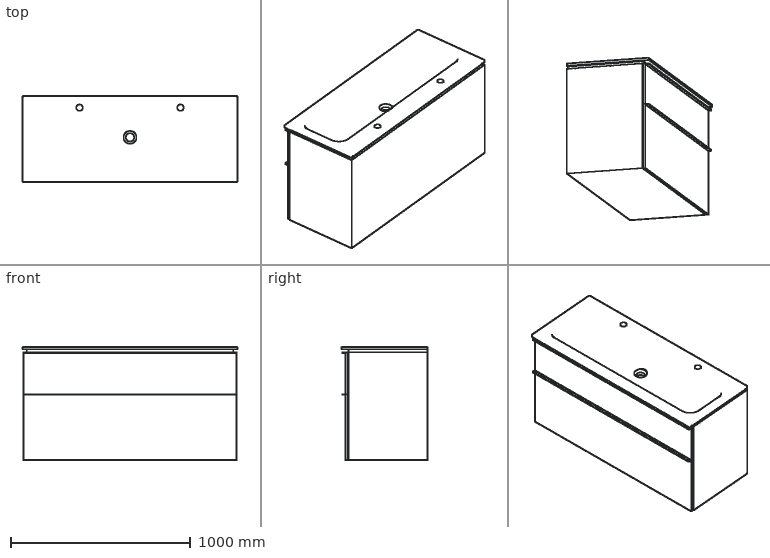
import cadquery as cq
import math


cabinet_width = 1188.0
cabinet_depth = 442.0
cabinet_height = 599.0

front_side_inset = 4.0
front_gap = 4.0
front_thickness = 13.0
ledge_thickness = 5.0
ledge_overhang = 18.0
ledge_corner_radius = 4.0
lower_front_height = 368.0

front_width = cabinet_width - 2 * front_side_inset
front_back_y = -(cabinet_depth + front_gap)

slab_width = 1198.0
slab_depth = 480.0
top_z = 630.0
slab_half_height = 7.0
slab_edge_radius = 6.0
slab_bottom_inset = 1.0
slab_corner_radius = 7.0
plinth_width = 1152.0
plinth_depth = cabinet_depth

slab_bottom_z = top_z - 2 * slab_half_height
plinth_height = slab_bottom_z - cabinet_height

bowl_depth = 100.0
bowl_centre_y = -236.0
bowl_flat_half_length = 300.0
bowl_end_run = 244.0
bowl_back_run = 119.0
bowl_front_run = 175.0
bowl_corner_radius = 66.0
bowl_side_wall = 18.0
bowl_section_angles = (0, 12, 24, 36, 48, 60, 70, 79, 86)
rim_radius = 4.0

tap_hole_diameter = 36.0
tap_hole_spacing = 562.0
tap_hole_y = -66.0
drain_y = -231.0
drain_mouth_diameter = 72.0
drain_bore_diameter = 47.0
drain_cone_depth = 12.0
drain_bore_depth = 18.0
drain_floor = 6.0
bowl_bottom_wall = drain_cone_depth + drain_bore_depth + drain_floor


def bowl_shape(side_wall, bottom_wall):
    """Bowl-shaped solid hanging from the top of the slab, grown by a wall at its sides and bottom."""
    sections = []
    for angle in bowl_section_angles:
        spread = math.cos(math.radians(angle))
        z = top_z - (bowl_depth + bottom_wall) * math.sin(math.radians(angle))
        length = 2 * (bowl_flat_half_length + (bowl_end_run + side_wall) * spread)
        back_y = bowl_centre_y + (bowl_back_run + side_wall) * spread
        front_y = bowl_centre_y - (bowl_front_run + side_wall) * spread
        section = (
            cq.Sketch()
            .rect(length, back_y - front_y)
            .vertices()
            .fillet((bowl_corner_radius + side_wall) * spread)
            .moved(cq.Location(cq.Vector(0, (back_y + front_y) / 2, z)))
        )
        sections.append(section)
    return cq.Workplane("XY").placeSketch(*sections).loft()


def back_box(width, depth, height, bottom_z):
    """Box centred on X with its back on the wall."""
    return cq.Workplane("XY", origin=(0, -depth / 2, bottom_z)).box(
        width, depth, height, centered=(True, True, False)
    )


def make_slab():
    """Slab that is rounded above its widest level and tapers slightly below it."""
    outline = (
        cq.Sketch()
        .rect(slab_width, slab_depth)
        .vertices()
        .fillet(slab_corner_radius)
    )
    level = cq.Workplane("XY", origin=(0, -slab_depth / 2, top_z - slab_half_height)).placeSketch(outline)
    upper = level.extrude(slab_half_height).faces(">Z").edges().fillet(slab_edge_radius)
    taper = math.degrees(math.atan(slab_bottom_inset / slab_half_height))
    lower = level.extrude(-slab_half_height, taper=taper)
    return upper.union(lower)


def make_tap_holes():
    """Pair of holes through the slab and the plinth behind the bowl."""
    return (
        cq.Workplane("XY", origin=(0, tap_hole_y, cabinet_height))
        .rarray(tap_hole_spacing, 12, 2, 1)
        .circle(tap_hole_diameter / 2)
        .extrude(top_z - cabinet_height)
    )


def make_drain_hole():
    """Round mouth in the bowl bottom that narrows as a cone to a blind bore."""
    mouth_radius = drain_mouth_diameter / 2
    bore_radius = drain_bore_diameter / 2
    mouth_z = top_z - bowl_depth
    cone_end_z = mouth_z - drain_cone_depth
    floor_z = cone_end_z - drain_bore_depth
    mouth_top_z = mouth_z + mouth_radius
    profile = [
        (0, floor_z),
        (bore_radius, floor_z),
        (bore_radius, cone_end_z),
        (mouth_radius, mouth_z),
        (mouth_radius, mouth_top_z),
        (0, mouth_top_z),
    ]
    return (
        cq.Workplane("XZ", origin=(0, drain_y, 0))
        .polyline(profile)
        .close()
        .revolve(360, (0, 0, 0), (0, 1, 0))
    )


def make_basin():
    """Slab on a plinth with a bowl, two tap holes and a drain."""
    plinth = back_box(plinth_width, plinth_depth, plinth_height, cabinet_height)
    basin = (
        make_slab()
        .union(plinth)
        .union(bowl_shape(bowl_side_wall, bowl_bottom_wall))
        .cut(bowl_shape(0, 0))
    )
    rim = basin.faces(">Z").val().innerWires()[0].Edges()
    basin = basin.newObject(rim).fillet(rim_radius)
    return basin.cut(make_tap_holes()).cut(make_drain_hole())


def make_cabinet():
    """Carcass with a recess that fits the underside of the bowl."""
    carcass = back_box(cabinet_width, cabinet_depth, cabinet_height, 0)
    return carcass.cut(bowl_shape(bowl_side_wall, bowl_bottom_wall))


def make_drawer_front(bottom_z, height):
    """Flat panel with a handle ledge standing out along its top edge."""
    panel = cq.Workplane("XY", origin=(0, front_back_y - front_thickness / 2, bottom_z)).box(
        front_width, front_thickness, height, centered=(True, True, False)
    )
    ledge_depth = front_thickness + ledge_overhang
    ledge_bottom_z = bottom_z + height - ledge_thickness
    ledge = (
        cq.Workplane("XY", origin=(0, front_back_y - ledge_depth / 2, ledge_bottom_z))
        .box(front_width, ledge_depth, ledge_thickness, centered=(True, True, False))
        .edges("|Z and <Y")
        .fillet(ledge_corner_radius)
    )
    return panel.union(ledge)


basin = make_basin()
cabinet = make_cabinet()
drawer_fronts = [
    make_drawer_front(bottom_z, front_top_z - bottom_z)
    for bottom_z, front_top_z in ((0, lower_front_height), (lower_front_height, cabinet_height))
]

result = cq.Compound.makeCompound(
    [basin.val(), cabinet.val(), *[front.val() for front in drawer_fronts]]
)